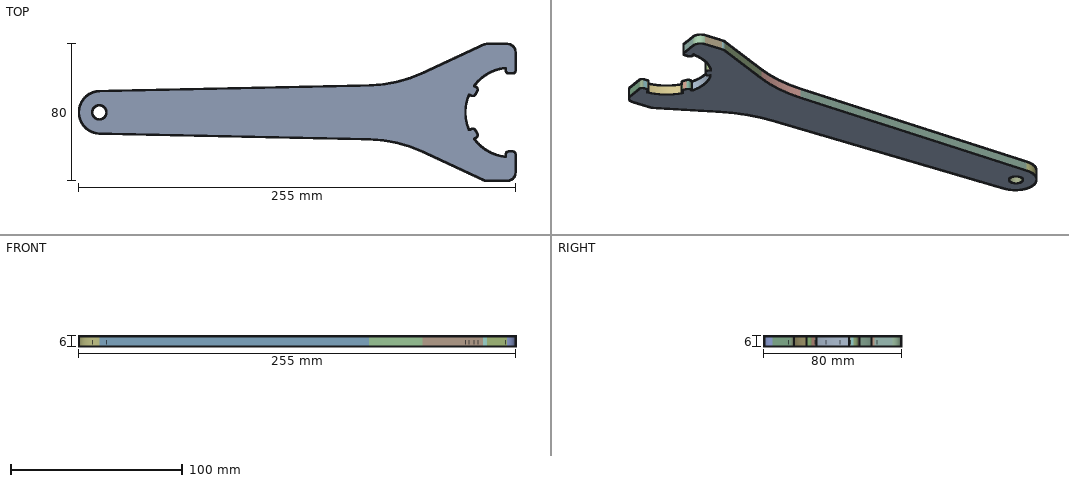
import cadquery as cq
import math

length = 255.0
width = 80.0
thickness = 6.0

end_radius = 12.5
hole_diameter = 8.2
hole_x = 12.0
taper_angle = math.radians(1.2)

flare_angle = math.radians(25)
flare_top_x = 237.2
flare_blend_radius = 78.0
shoulder_radius = 5.0
corner_radius = 5.0

jaw_radius = 26.0
jaw_center_x = 251.7
tooth_tip_radius = 22.7
tooth_width = 5.9
tooth_root_overlap = 2.5
tooth_tip_fillet = 1.8
inner_tooth_angles = (150, 210)
hook_inner_x = 249.1

half_width = width / 2

tangent_x = end_radius * (1 - math.sin(taper_angle))
tangent_y = end_radius * math.cos(taper_angle)

taper_slope = math.tan(taper_angle)
flare_slope = math.tan(flare_angle)
neck_x = (
    tangent_y - taper_slope * tangent_x - half_width + flare_slope * flare_top_x
) / (flare_slope - taper_slope)
neck_y = tangent_y + taper_slope * (neck_x - tangent_x)


def fillet_corners(body, corner_x, corner_y, radius):
    """Round the upright edges at a corner and at its mirror image."""
    margin = 0.03
    for side in (1, -1):
        box = cq.selectors.BoxSelector(
            (corner_x - margin, side * corner_y - margin, -margin),
            (corner_x + margin, side * corner_y + margin, thickness + margin),
        )
        body = body.edges("|Z").edges(box).fillet(radius)
    return body


def make_blank():
    """Handle and flared head, before the jaw is opened."""
    blank = (
        cq.Workplane("XY")
        .moveTo(tangent_x, tangent_y)
        .lineTo(neck_x, neck_y)
        .lineTo(flare_top_x, half_width)
        .lineTo(length, half_width)
        .lineTo(length, -half_width)
        .lineTo(flare_top_x, -half_width)
        .lineTo(neck_x, -neck_y)
        .lineTo(tangent_x, -tangent_y)
        .threePointArc((0, 0), (tangent_x, tangent_y))
        .close()
        .extrude(thickness)
    )
    blank = fillet_corners(blank, neck_x, neck_y, flare_blend_radius)
    blank = fillet_corners(blank, flare_top_x, half_width, shoulder_radius)
    return fillet_corners(blank, length, half_width, corner_radius)


def make_inner_tooth(angle):
    """Radial tooth with a rounded tip, rooted in the jaw wall."""
    tooth_length = jaw_radius + tooth_root_overlap - tooth_tip_radius
    return (
        cq.Workplane("XY")
        .center(tooth_tip_radius + tooth_length / 2, 0)
        .rect(tooth_length, tooth_width)
        .extrude(thickness)
        .edges("|Z and <X")
        .fillet(tooth_tip_fillet)
        .rotate((0, 0, 0), (0, 0, 1), angle)
        .translate((jaw_center_x, 0, 0))
    )


def make_hook(side):
    """Tooth at the end of one jaw arm, flush with the head's end face."""
    hook_height = jaw_radius + tooth_root_overlap - tooth_tip_radius
    hook_width = length - hook_inner_x
    return (
        cq.Workplane("XY")
        .center(hook_inner_x + hook_width / 2, side * (tooth_tip_radius + hook_height / 2))
        .rect(hook_width, hook_height)
        .extrude(thickness)
        .edges("|Z")
        .edges("<Y" if side > 0 else ">Y")
        .fillet(tooth_tip_fillet)
    )


jaw_opening = cq.Workplane("XY").center(jaw_center_x, 0).circle(jaw_radius).extrude(thickness)
hanging_hole = cq.Workplane("XY").center(hole_x, 0).circle(hole_diameter / 2).extrude(thickness)

result = make_blank().cut(jaw_opening).cut(hanging_hole)
for tooth_angle in inner_tooth_angles:
    result = result.union(make_inner_tooth(tooth_angle))
for arm_side in (1, -1):
    result = result.union(make_hook(arm_side))
result = result.clean()